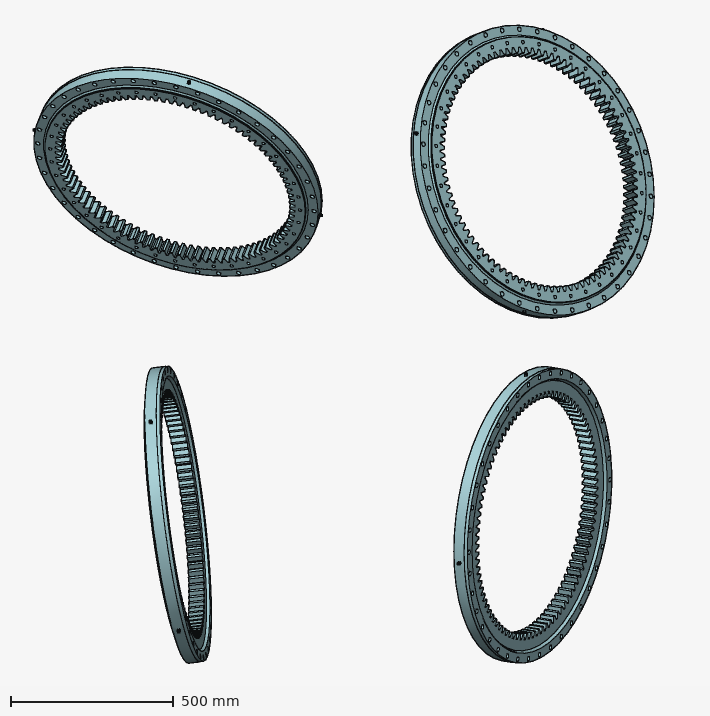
import cadquery as cq
import math

overall_depth = 56.0
back_y = overall_depth / 2
front_y = -overall_depth / 2
ring_depth = 47.0

outer_radius = 458.0
outer_front_y = back_y - ring_depth
outer_bore_radius = 426.5
rim_depth = 11.0
rim_step = 1.0
rim_front_y = back_y - rim_depth
hole_count = 40
hole_pitch = 360 / hole_count
bolt_circle_radius = 445.0
bolt_hole_diameter = 14.0

inner_back_y = front_y + ring_depth
inner_radius = 420.0
rim_chamfer = 0.8
tapped_circle_radius = 402.5
tapped_hole_diameter = 10.2
tapped_hole_depth = 20.0
drill_point_angle = 118.0

gear_module = 8.0
tooth_count = 94
tooth_pitch = 360 / tooth_count
pressure_angle = math.radians(20)
pitch_radius = gear_module * tooth_count / 2
tip_radius = pitch_radius - gear_module
root_radius = pitch_radius + 1.25 * gear_module
base_radius = pitch_radius * math.cos(pressure_angle)
tip_chamfer = 2.0

seal_depth = 6.0
seal_back_y = outer_front_y + seal_depth
seal_lip_radius = inner_radius + 0.5
seal_lip_y = outer_front_y - 4.3

nipple_count = 4
first_nipple_angle = -hole_pitch / 2
nipple_y = 0.0
nipple_hex_width = 9.0
nipple_head_diameter = 7.5
nipple_head_chamfer = 1.5
nipple_seat_radius = outer_radius - 10.0
nipple_shoulder_radius = outer_radius + 4.5
nipple_end_radius = 467.62


def ring(outer, inner, from_y, to_y):
    """Plain ring about the Y axis, from a back face to a front face."""
    plane = cq.Workplane("XZ", origin=(0, from_y, 0))
    return plane.circle(outer).circle(inner).extrude(from_y - to_y)


def turned(profile):
    """Closed profile of (radius, y) points, revolved about the Y axis."""
    return cq.Workplane("XY").polyline(profile).close().revolve(360, (0, 0, 0), (0, 1, 0))


def circular_copies(body, count, first_angle=0.0):
    """Evenly spaced copies of a solid about the Y axis; angles run from +X towards +Z."""
    pitch = 360 / count
    return [body.rotate((0, 0, 0), (0, 1, 0), -first_angle - i * pitch) for i in range(count)]


def cut_all(body, cutters):
    return body.cut(cq.Workplane(cq.Compound.makeCompound(cutters)))


def make_bolt_hole():
    plane = cq.Workplane("XZ", origin=(0, back_y, 0))
    return plane.center(bolt_circle_radius, 0).circle(bolt_hole_diameter / 2).extrude(ring_depth).val()


def make_outer_ring(nipples):
    body = ring(outer_radius, outer_bore_radius, rim_front_y, outer_front_y)
    rim = ring(outer_radius - rim_step, outer_bore_radius, back_y, rim_front_y)
    bolt_holes = circular_copies(make_bolt_hole(), hole_count)
    return cut_all(body.union(rim), bolt_holes + nipples)


def make_tapped_hole():
    """Blind hole with a drill point."""
    edge = tapped_circle_radius + tapped_hole_diameter / 2
    point_depth = tapped_hole_diameter / 2 / math.tan(math.radians(drill_point_angle / 2))
    bottom_y = front_y + tapped_hole_depth
    return (
        cq.Workplane("XY")
        .moveTo(tapped_circle_radius, front_y)
        .lineTo(edge, front_y)
        .lineTo(edge, bottom_y)
        .lineTo(tapped_circle_radius, bottom_y + point_depth)
        .close()
        .revolve(360, (tapped_circle_radius, 0, 0), (tapped_circle_radius, 1, 0))
        .val()
    )


def polar(radius, angle):
    return (radius * math.cos(angle), radius * math.sin(angle))


def involute(angle):
    return math.tan(angle) - angle


def half_space_angle(radius):
    """Half the angle that a tooth space takes up at a radius."""
    roll = math.acos(base_radius / radius)
    return math.pi / (2 * tooth_count) + involute(pressure_angle) - involute(roll)


def make_tooth_space():
    """Solid that fills the space between two teeth, centred on +X and open to the bore."""
    at_tip = half_space_angle(tip_radius)
    at_pitch = half_space_angle(pitch_radius)
    at_root = half_space_angle(root_radius)
    open_radius = tip_radius - gear_module
    return (
        cq.Workplane("XZ", origin=(0, inner_back_y, 0))
        .moveTo(*polar(tip_radius, -at_tip))
        .threePointArc(polar(pitch_radius, -at_pitch), polar(root_radius, -at_root))
        .threePointArc((root_radius, 0), polar(root_radius, at_root))
        .threePointArc(polar(pitch_radius, at_pitch), polar(tip_radius, at_tip))
        .lineTo(*polar(open_radius, at_tip))
        .lineTo(*polar(open_radius, -at_tip))
        .close()
        .extrude(ring_depth)
        .val()
    )


def make_inner_ring():
    blank = turned([
        (inner_radius, inner_back_y),
        (inner_radius, front_y + rim_chamfer),
        (inner_radius - rim_chamfer, front_y),
        (tip_radius + tip_chamfer, front_y),
        (tip_radius, front_y + tip_chamfer),
        (tip_radius, inner_back_y),
    ])
    tooth_spaces = circular_copies(make_tooth_space(), tooth_count, tooth_pitch / 2)
    tapped_holes = circular_copies(make_tapped_hole(), hole_count)
    return cut_all(blank, tooth_spaces + tapped_holes)


def make_seal():
    """Ring with a sloping front face that ends in a lip on the inner ring."""
    return turned([
        (outer_bore_radius, seal_back_y),
        (outer_bore_radius, outer_front_y),
        (seal_lip_radius, seal_lip_y),
        (inner_radius, seal_lip_y),
        (inner_radius, seal_back_y),
    ])


def make_nipple():
    """Grease nipple along +X: a hexagonal body and a round, chamfered head."""
    hex_diameter = nipple_hex_width / math.cos(math.pi / 6)
    body = (
        cq.Workplane("YZ", origin=(nipple_seat_radius, nipple_y, 0))
        .polygon(6, hex_diameter)
        .extrude(nipple_shoulder_radius - nipple_seat_radius)
    )
    head = (
        cq.Workplane("YZ", origin=(nipple_shoulder_radius, nipple_y, 0))
        .circle(nipple_head_diameter / 2)
        .extrude(nipple_end_radius - nipple_shoulder_radius)
        .faces(">X")
        .chamfer(nipple_head_chamfer)
    )
    return body.union(head).val()


nipples = circular_copies(make_nipple(), nipple_count, first_nipple_angle)
outer_ring = make_outer_ring(nipples)
inner_ring = make_inner_ring()
seal = make_seal()

result = cq.Compound.makeCompound([outer_ring.val(), inner_ring.val(), seal.val(), *nipples])